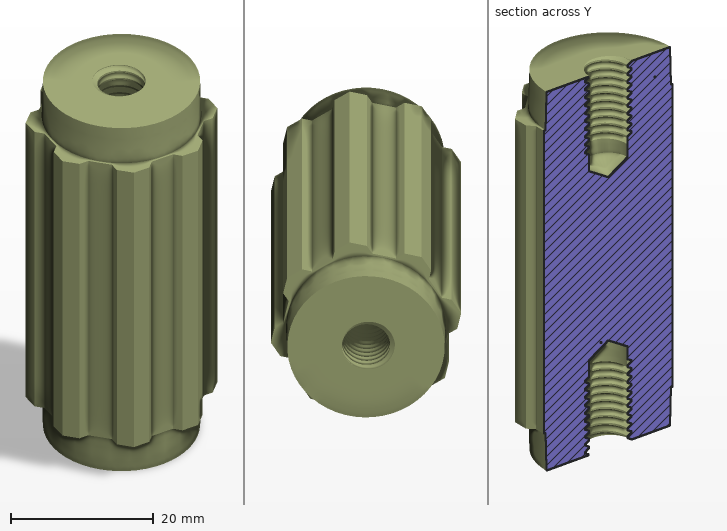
import cadquery as cq
import math

across_flats = 25.0
flat_count = 8
groove_depth = 1.0
groove_mouth_width = 5.4
groove_wall_angle = 45.0

total_height = 60.0
collar_height = 6.0
collar_base_diameter = 22.4
collar_end_diameter = 22.05

thread_pitch = 1.25
thread_minor_diameter = 6.78
thread_major_diameter = 8.17
thread_flank_angle = 60.0
thread_root_width = thread_pitch / 8
thread_start_angle = 180.0
thread_turns_below_face = 10
thread_turns_above_face = 1
hole_depth = 15.0
drill_tip_angle = 118.0

clearance = 0.2

grip_height = total_height - 2 * collar_height
half_height = total_height / 2


def make_grip():
    """Octagonal prism, centred on the origin, with a trapezoidal groove in each flat."""
    corner_diameter = across_flats / math.cos(math.pi / flat_count)
    corner_turn = 180.0 / flat_count
    grip = (
        cq.Workplane("XY")
        .workplane(offset=-grip_height / 2)
        .transformed(rotate=(0, 0, corner_turn))
        .polygon(flat_count, corner_diameter)
        .extrude(grip_height)
    )
    groove = make_groove()
    for index in range(flat_count):
        angle = index * 360.0 / flat_count
        grip = grip.cut(groove.rotate((0, 0, 0), (0, 0, 1), angle))
    return grip


def make_groove():
    """Full-length groove cutter for the +X flat."""
    slope = math.tan(math.radians(groove_wall_angle))
    floor_x = across_flats / 2 - groove_depth
    outer_x = across_flats / 2 + clearance
    floor_half_width = groove_mouth_width / 2 - groove_depth * slope
    outer_half_width = groove_mouth_width / 2 + clearance * slope
    return (
        cq.Workplane("XY")
        .workplane(offset=-grip_height / 2)
        .moveTo(floor_x, -floor_half_width)
        .lineTo(outer_x, -outer_half_width)
        .lineTo(outer_x, outer_half_width)
        .lineTo(floor_x, floor_half_width)
        .close()
        .extrude(grip_height)
    )


def make_core():
    """Turned core: both tapered collars, joined by a cylinder inside the grip."""
    base_radius = collar_base_diameter / 2
    end_radius = collar_end_diameter / 2
    return (
        cq.Workplane("XZ")
        .moveTo(0, -half_height)
        .lineTo(end_radius, -half_height)
        .lineTo(base_radius, -grip_height / 2)
        .lineTo(base_radius, grip_height / 2)
        .lineTo(end_radius, half_height)
        .lineTo(0, half_height)
        .close()
        .revolve(360, (0, 0), (0, 1))
    )


def make_drilled_hole():
    """Blind tapping hole in the top face, with a conical drill tip."""
    radius = thread_minor_diameter / 2
    tip_height = radius / math.tan(math.radians(drill_tip_angle / 2))
    shoulder_z = half_height - hole_depth
    return (
        cq.Workplane("XZ")
        .moveTo(0, shoulder_z - tip_height)
        .lineTo(radius, shoulder_z)
        .lineTo(radius, half_height + clearance)
        .lineTo(0, half_height + clearance)
        .close()
        .revolve(360, (0, 0), (0, 1))
    )


def make_thread_groove():
    """Helical V-groove cutter whose root crosses the top face at the start angle."""
    minor_radius = thread_minor_diameter / 2
    major_radius = thread_major_diameter / 2
    inner_radius = minor_radius - clearance
    flank_slope = math.tan(math.radians(thread_flank_angle / 2))
    root_half_width = thread_root_width / 2
    inner_half_width = root_half_width + (major_radius - inner_radius) * flank_slope
    turns = thread_turns_below_face + thread_turns_above_face
    helix = cq.Wire.makeHelix(thread_pitch, turns * thread_pitch, minor_radius)
    groove = (
        cq.Workplane("XZ")
        .moveTo(inner_radius, -inner_half_width)
        .lineTo(major_radius, -root_half_width)
        .lineTo(major_radius, root_half_width)
        .lineTo(inner_radius, inner_half_width)
        .close()
        .sweep(cq.Workplane(obj=helix), isFrenet=True)
    )
    start_z = half_height - thread_turns_below_face * thread_pitch
    return groove.rotate((0, 0, 0), (0, 0, 1), thread_start_angle).translate((0, 0, start_z))


def cut_both_ends(body, tool):
    """Cut the tool from the top, then from the bottom after half a turn about X."""
    return body.cut(tool).cut(tool.rotate((0, 0, 0), (1, 0, 0), 180))


body = make_grip().union(make_core())
body = cut_both_ends(body, make_thread_groove())
result = cut_both_ends(body, make_drilled_hole())